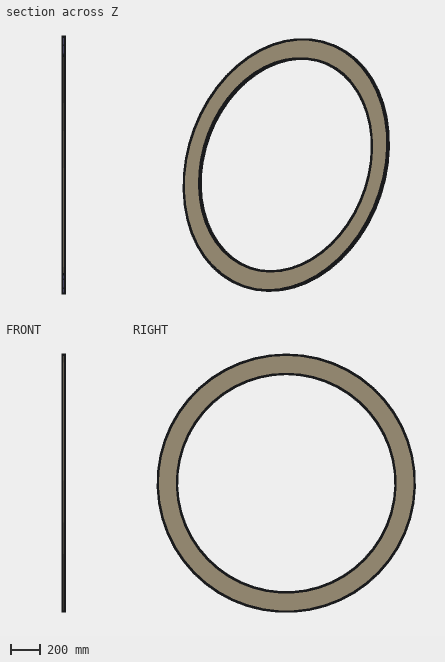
import cadquery as cq

outer_diameter = 1764.4
inner_diameter = 1496.8
thickness = 19.0

outer_radius = outer_diameter / 2
inner_radius = inner_diameter / 2
radial_width = outer_radius - inner_radius
mean_radius = (outer_radius + inner_radius) / 2

section = cq.Workplane("XZ").center(0, mean_radius).rect(thickness, radial_width)
result = section.revolve(360, (0, -mean_radius), (1, -mean_radius))